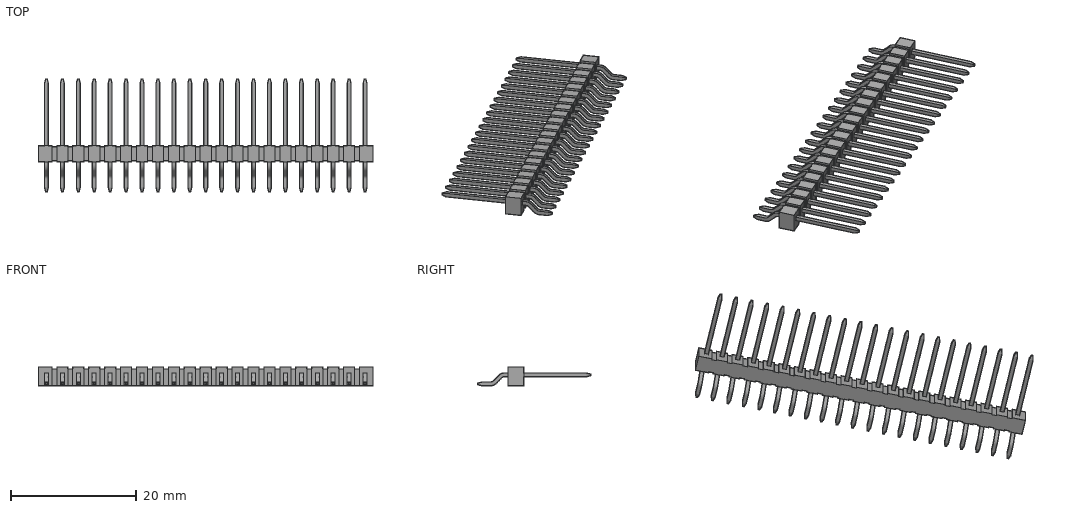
import cadquery as cq
import math

pin_count = 21
strip_length = 53.35
pitch = strip_length / pin_count
first_pin_x = -strip_length / 2 + pitch / 2
end_positions = (0, pin_count - 1)
inner_positions = range(1, pin_count - 1)

housing_depth = 2.55
housing_height = 3.05
web_gap = 0.75
web_side_recess = 0.15
web_top_recess = 0.3

pin_size = 0.65
pin_axis_height = 1.75
tip_length = 0.7
tip_size = 0.25
rear_reach = 10.65
front_reach = 4.8

bend_start = 0.55
bend_angle = 45.0
bend_radius = 0.95

housing_front = -housing_depth / 2
housing_back = housing_depth / 2
foot_axis_height = pin_size / 2
web_depth = housing_depth - 2 * web_side_recess
web_height = housing_height - web_top_recess


def pin_x(index):
    """Centre of a pin along the strip."""
    return first_pin_x + index * pitch


def pin_at(index):
    """A copy of the pin at its position in the strip."""
    return pin.translate((pin_x(index), 0, 0))


def box(length, depth, height, x):
    """A box standing on the base plane, centred at x along the strip."""
    return cq.Workplane("XY").box(length, depth, height, centered=(True, True, False)).translate((x, 0, 0))


def make_housing():
    """A full-height bar, notched between neighbouring pins down to the webs."""
    housing = box(strip_length, housing_depth, housing_height, 0)
    for index in range(pin_count - 1):
        gap_x = pin_x(index) + pitch / 2
        web = box(web_gap, web_depth, web_height, gap_x)
        housing = housing.cut(box(web_gap, housing_depth, housing_height, gap_x).cut(web))
    return housing


def make_tip(y, z, direction):
    """A truncated pyramid that tapers away from the end of a pin."""
    plane = cq.Plane(origin=(0, y, z), xDir=(1, 0, 0), normal=(0, direction, 0))
    return (
        cq.Workplane(plane)
        .rect(pin_size, pin_size)
        .workplane(offset=tip_length)
        .rect(tip_size, tip_size)
        .loft(ruled=True)
    )


def make_pin():
    """A straight square post whose front end bends down to a flat solder foot."""
    angle = math.radians(bend_angle)
    rise = bend_radius * (1 - math.cos(angle))
    run = bend_radius * math.sin(angle)
    half_rise = bend_radius * (1 - math.cos(angle / 2))
    half_run = bend_radius * math.sin(angle / 2)

    rear_end = housing_back + rear_reach - tip_length
    front_end = housing_front - front_reach + tip_length
    upper_y = housing_front - bend_start
    drop = pin_axis_height - foot_axis_height
    lower_y = upper_y - 2 * run - (drop - 2 * rise) / math.tan(angle)

    path = (
        cq.Workplane("YZ")
        .moveTo(rear_end, pin_axis_height)
        .lineTo(upper_y, pin_axis_height)
        .threePointArc(
            (upper_y - half_run, pin_axis_height - half_rise),
            (upper_y - run, pin_axis_height - rise),
        )
        .lineTo(lower_y + run, foot_axis_height + rise)
        .threePointArc(
            (lower_y + half_run, foot_axis_height + half_rise),
            (lower_y, foot_axis_height),
        )
        .lineTo(front_end, foot_axis_height)
    )
    rear_plane = cq.Plane(origin=(0, rear_end, pin_axis_height), xDir=(1, 0, 0), normal=(0, -1, 0))
    shank = cq.Workplane(rear_plane).rect(pin_size, pin_size).sweep(path)
    rear_tip = make_tip(rear_end, pin_axis_height, 1)
    front_tip = make_tip(front_end, foot_axis_height, -1)
    return shank.union(rear_tip).union(front_tip)


def make_header():
    """The housing in one piece with the inner pins, with a matching hole for each end pin."""
    header = make_housing()
    for index in inner_positions:
        header = header.union(pin_at(index))
    for index in end_positions:
        header = header.cut(pin_at(index))
    return header


pin = make_pin()
header = make_header()
end_pins = [pin_at(index) for index in end_positions]

result = cq.Compound.makeCompound([header.val(), *[end_pin.val() for end_pin in end_pins]])